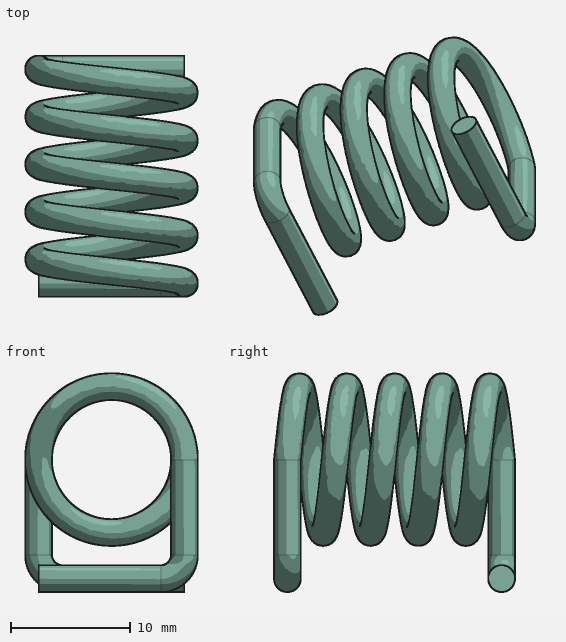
import cadquery as cq

wire_diameter = 2.27
coil_outer_diameter = 14.53
overall_length = 20.25
overall_height = 18.4
turns = 4.5
bend_radius = 2.0
joint_tolerance = 0.001

wire_radius = wire_diameter / 2
coil_radius = (coil_outer_diameter - wire_diameter) / 2
coil_length = overall_length - wire_diameter
pitch = coil_length / turns
foot_z = coil_outer_diameter / 2 - overall_height + wire_radius
bend_start_z = foot_z + bend_radius


def make_coil():
    """Left-hand coil along +Y, starting at +X and ending at -X."""
    helix = cq.Wire.makeHelix(pitch, coil_length, coil_radius, lefthand=True)
    coil = (
        cq.Workplane("XZ")
        .center(coil_radius, 0)
        .circle(wire_radius)
        .sweep(cq.Workplane(obj=helix), isFrenet=True)
    )
    return coil.rotate((0, 0, 0), (1, 0, 0), -90).translate((0, -coil_length / 2, 0))


def make_leg(side, y):
    """Straight leg down from the coil at +X (side=1) or -X (side=-1), bent into a foot across X."""
    leg_x = side * coil_radius
    foot_start_x = side * (coil_radius - bend_radius)
    path = (
        cq.Workplane("XZ", origin=(0, y, 0))
        .moveTo(leg_x, 0)
        .lineTo(leg_x, bend_start_z)
        .tangentArcPoint((foot_start_x, foot_z), relative=False)
        .lineTo(-leg_x, foot_z)
    )
    return cq.Workplane("XY", origin=(leg_x, y, 0)).circle(wire_radius).sweep(path)


front_leg = make_leg(1, -coil_length / 2)
back_leg = make_leg(-1, coil_length / 2)
result = make_coil().union(front_leg, tol=joint_tolerance).union(back_leg, tol=joint_tolerance)